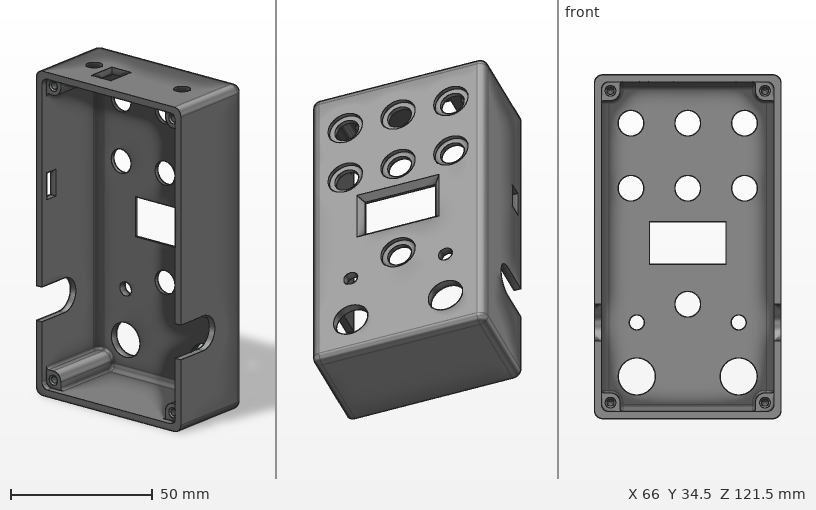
import cadquery as cq

width = 66.0
depth = 34.5
height = 121.5
wall = 2.5
floor = 3.0
outer_radius = 3.0
inner_radius = 2.5

rim_y = -depth / 2
floor_y = depth / 2 - floor
cavity_width = width - 2 * wall
cavity_height = height - 2 * wall

boss_setback = 2.5
boss_radius = 3.4
boss_fillet = 1.0
screw_inset = 3.2
screw_diameter = 2.5
screw_mouth_diameter = 3.8
screw_mouth_depth = (screw_mouth_diameter - screw_diameter) / 2
screw_depth = 12.2
screw_tip_depth = screw_diameter / 2
boss_front_y = rim_y + boss_setback
screw_x = cavity_width / 2 - screw_inset
screw_z = cavity_height / 2 - screw_inset
corners = [(x_side, z_side) for x_side in (-1, 1) for z_side in (-1, 1)]

control_diameter = 9.0
control_pitch = 20.0
control_rows = (43.6, 20.7)
lower_control_z = -20.3
side_x = 18.0
indicator_diameter = 5.2
indicator_z = -26.7
jack_diameter = 13.0
jack_z = -45.8
window_width = 26.9
window_height = 15.0
window_z = 1.3
window_land = 0.9
control_land = 1.6
control_recess_diameter = 13.0

top_hole_diameter = 6.0
top_hole_from_rim = 16.5
port_width = 8.7
port_depth = 11.3
port_x = -9.5
port_from_rim = 13.1

slot_width = 13.0
slot_depth = 19.0
slot_z = indicator_z
side_port_depth = 5.0
side_port_height = 10.0
side_port_from_rim = 5.3
side_port_z = 16.8


def cylinder_y(diameter, x, z, start_y, length):
    return cq.Workplane(cq.Solid.makeCylinder(
        diameter / 2, length, cq.Vector(x, start_y, z), cq.Vector(0, 1, 0)))


def cone_y(start_diameter, end_diameter, x, z, start_y, length):
    return cq.Workplane(cq.Solid.makeCone(
        start_diameter / 2, end_diameter / 2, length, cq.Vector(x, start_y, z), cq.Vector(0, 1, 0)))


def block(size_x, size_y, size_z, x, y, z):
    return cq.Workplane().box(size_x, size_y, size_z).translate((x, y, z))


def make_corner_pillar(x_side, z_side):
    """Square pillar with one round corner facing the cavity; its other corner lies inside the walls."""
    length = floor_y - boss_front_y
    size = boss_radius + screw_inset + wall
    centre_shift = size / 2 - boss_radius
    pillar = block(
        size,
        length,
        size,
        x_side * (screw_x + centre_shift),
        boss_front_y + length / 2,
        z_side * (screw_z + centre_shift),
    )
    inner_x_face = "<X" if x_side > 0 else ">X"
    inner_z_face = "<Z" if z_side > 0 else ">Z"
    return pillar.faces(inner_x_face).edges(inner_z_face).fillet(boss_radius)


def make_cavity():
    """Hollow of the box: a rounded block with the four corner pillars left standing."""
    cavity_depth = floor_y - rim_y
    cavity = block(cavity_width, cavity_depth, cavity_height, 0, rim_y + cavity_depth / 2, 0)
    cavity = cavity.edges("|Y or >Y").fillet(inner_radius)
    for x_side, z_side in corners:
        cavity = cavity.cut(make_corner_pillar(x_side, z_side))
    return cavity.faces(">Y").edges("%CIRCLE").fillet(boss_fillet)


def make_screw_hole(x, z):
    """Blind pilot hole with a countersunk mouth and a conical end."""
    mouth = cone_y(screw_mouth_diameter, screw_diameter, x, z, boss_front_y, screw_mouth_depth)
    bore = cylinder_y(screw_diameter, x, z, boss_front_y, screw_depth)
    tip = cone_y(screw_diameter, 0, x, z, boss_front_y + screw_depth, screw_tip_depth)
    return mouth.union(bore).union(tip)


def floor_hole(diameter, x, z):
    return cylinder_y(diameter, x, z, floor_y - floor, 3 * floor)


def make_control_hole(x, z):
    """Through hole with a shallow counterbore in the outside of the floor panel."""
    recess = cylinder_y(control_recess_diameter, x, z, floor_y + control_land, floor)
    return floor_hole(control_diameter, x, z).union(recess)


def make_window():
    """Rectangular opening whose outer edges are bevelled at 45 degrees down to a thin land."""
    bevel = floor - window_land
    opening = block(window_width, 3 * floor, window_height, 0, depth / 2, window_z)
    flare = (
        cq.Workplane("XZ", origin=(0, floor_y + window_land, window_z))
        .rect(window_width, window_height)
        .workplane(offset=-bevel)
        .rect(window_width + 2 * bevel, window_height + 2 * bevel)
        .loft(ruled=True)
    )
    return opening.union(flare)


def make_top_hole(x):
    return cq.Workplane(cq.Solid.makeCylinder(
        top_hole_diameter / 2,
        3 * wall,
        cq.Vector(x, rim_y + top_hole_from_rim, height / 2 - 2 * wall),
    ))


def make_cable_slot():
    """Round-ended slot open at the rim, crossing both side walls."""
    end_y = rim_y + slot_depth - slot_width / 2
    straight = block(width, 2 * (end_y - rim_y), slot_width, 0, rim_y, slot_z)
    round_end = cq.Workplane(cq.Solid.makeCylinder(
        slot_width / 2, width, cq.Vector(-width / 2, end_y, slot_z), cq.Vector(1, 0, 0)))
    return straight.union(round_end)


body = cq.Workplane().box(width, depth, height)
body = body.edges("|Y or >Y").fillet(outer_radius)
result = body.cut(make_cavity())

for x_side, z_side in corners:
    result = result.cut(make_screw_hole(x_side * screw_x, z_side * screw_z))

for row_z in control_rows:
    for column in (-1, 0, 1):
        result = result.cut(make_control_hole(column * control_pitch, row_z))
result = result.cut(make_control_hole(0, lower_control_z))
for x in (-side_x, side_x):
    result = result.cut(floor_hole(indicator_diameter, x, indicator_z))
    result = result.cut(floor_hole(jack_diameter, x, jack_z))
result = result.cut(make_window())

for x in (-control_pitch, control_pitch):
    result = result.cut(make_top_hole(x))
result = result.cut(block(port_width, port_depth, 3 * wall, port_x, rim_y + port_from_rim, height / 2))

result = result.cut(make_cable_slot())
result = result.cut(block(
    3 * wall, side_port_depth, side_port_height, -width / 2, rim_y + side_port_from_rim, side_port_z))